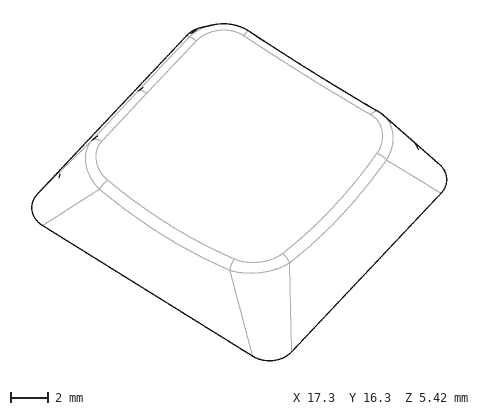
import cadquery as cq

base_length = 17.3
base_width = 16.3
base_corner_radius = 1.5

top_side = 12.5
top_corner_radius = 2.5
loft_height = 5.0

dish_radius = 25.0
dish_floor_height = 3.15
rim_fillet = 0.5

stem_diameter = 5.3
stem_length = 1.0


def rounded_outline(length, width, corner_radius):
    return cq.Sketch().rect(length, width).vertices().fillet(corner_radius)


def make_skirt():
    """Tapered body between the base outline and the smaller top outline."""
    base = rounded_outline(base_length, base_width, base_corner_radius)
    top = rounded_outline(top_side, top_side, top_corner_radius)
    raised_top = top.moved(cq.Location(cq.Vector(0, 0, loft_height)))
    return cq.Workplane("XY").placeSketch(base, raised_top).loft()


def cut_dish(body):
    """Scoop the top with a sphere and round the rim it leaves."""
    sphere = cq.Workplane("XY").sphere(dish_radius)
    sphere = sphere.rotate((0, 0, 0), (0, 0, 1), 180)
    sphere = sphere.translate((0, 0, dish_floor_height + dish_radius))
    dished = body.cut(sphere)
    return dished.faces("%SPHERE").edges().fillet(rim_fillet)


def add_stem(body):
    stem = cq.Workplane("XY").circle(stem_diameter / 2).extrude(-stem_length)
    return body.union(stem)


skirt = make_skirt()
dished_cap = cut_dish(skirt)
result = add_stem(dished_cap)